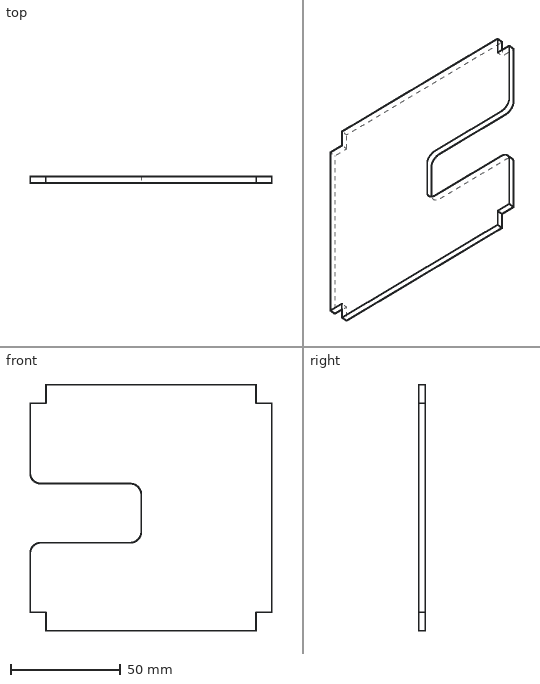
import cadquery as cq

width = 111.0
thickness = 3.0
height = 113

notch_width = 7.2
notch_height = 8.5

slot_depth = 51.0
slot_height = 27.0
slot_center_z = -2.5
corner_radius = 5.0

left = -width / 2
slot_bottom_x = left + slot_depth


def make_plate():
    """Cross-shaped outline: a full-width and a full-height block joined."""
    wide = cq.Workplane("XY").box(width, thickness, height - 2 * notch_height)
    tall = cq.Workplane("XY").box(width - 2 * notch_width, thickness, height)
    return wide.union(tall)


def cut_slot(plate):
    """Cut the side slot and round its four corners."""
    slot = (
        cq.Workplane("XY")
        .box(slot_depth, thickness, slot_height)
        .translate((left + slot_depth / 2, 0, slot_center_z))
    )
    slot_corners = cq.selectors.BoxSelector(
        (left - corner_radius, -thickness, slot_center_z - slot_height),
        (slot_bottom_x + corner_radius, thickness, slot_center_z + slot_height),
    )
    return plate.cut(slot).edges("|Y").edges(slot_corners).fillet(corner_radius)


result = cut_slot(make_plate())